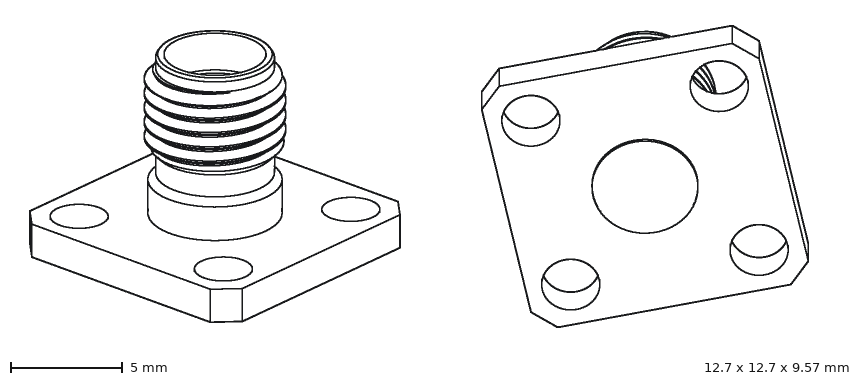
import cadquery as cq
import math

flange_side = 12.7
flange_thickness = 1.63
corner_chamfer = 1.02
mount_hole_spacing = 8.62
mount_hole_diameter = 2.6

shoulder_radius = 3.01
neck_radius = 2.67
tip_radius = 2.57
shoulder_chamfer = shoulder_radius - neck_radius
shoulder_top = 3.62
thread_bottom = 4.7
thread_top = 8.78
barrel_top = 9.42
tip_chamfer_height = 0.15

thread_radius = 3.18
pitches_per_diameter = 9
thread_pitch = 2 * thread_radius / pitches_per_diameter
thread_flat = thread_pitch / 8
flank_half_angle = math.radians(30)
groove_mouth = thread_pitch - thread_flat
groove_depth = (groove_mouth - thread_flat) / 2 / math.tan(flank_half_angle)
groove_start = 3.9
groove_turns = 7.6
groove_overcut = 0.06

bore_radius = 2.29
lip_radius = 2.16
lip_height = 0.1
bore_depth = 1.9
bore_floor = barrel_top - bore_depth

core_radius = 2.37
core_projection = 0.15
socket_mouth_radius = 0.6
socket_floor_radius = 0.5
socket_depth = socket_mouth_radius - socket_floor_radius


def make_flange():
    """Square plate with cut corners and four mounting holes."""
    return (
        cq.Workplane("XY")
        .rect(flange_side, flange_side)
        .extrude(flange_thickness)
        .edges("|Z")
        .chamfer(corner_chamfer)
        .faces(">Z")
        .workplane()
        .rect(mount_hole_spacing, mount_hole_spacing, forConstruction=True)
        .vertices()
        .hole(mount_hole_diameter)
    )


def make_barrel():
    """Solid turned barrel, with the thread still a plain bevelled band."""
    thread_bevel = thread_radius - neck_radius
    profile = [
        (0, 0),
        (shoulder_radius, 0),
        (shoulder_radius, shoulder_top - shoulder_chamfer),
        (neck_radius, shoulder_top),
        (neck_radius, thread_bottom),
        (thread_radius, thread_bottom + thread_bevel),
        (thread_radius, thread_top - thread_bevel),
        (neck_radius, thread_top),
        (neck_radius, barrel_top - tip_chamfer_height),
        (tip_radius, barrel_top),
        (0, barrel_top),
    ]
    return cq.Workplane("XZ").polyline(profile).close().revolve(360, (0, 0), (0, 1))


def make_thread_groove():
    """Helical V groove with a flat root, running out past both ends of the thread."""
    root_radius = thread_radius - groove_depth
    outer_radius = thread_radius + groove_overcut
    root_half_width = thread_flat / 2
    outer_half_width = groove_mouth / 2 + groove_overcut * math.tan(flank_half_angle)
    section = [
        (root_radius, groove_start - root_half_width),
        (outer_radius, groove_start - outer_half_width),
        (outer_radius, groove_start + outer_half_width),
        (root_radius, groove_start + root_half_width),
    ]
    helix = cq.Wire.makeHelix(
        thread_pitch, groove_turns * thread_pitch, root_radius, center=cq.Vector(0, 0, groove_start)
    )
    return cq.Workplane("XZ").polyline(section).close().sweep(cq.Workplane(obj=helix), isFrenet=True)


def make_bore():
    """Open bore, its tapered lip and the seat for the core below it."""
    profile = [
        (0, 0),
        (core_radius, 0),
        (core_radius, bore_floor),
        (lip_radius, bore_floor),
        (bore_radius, bore_floor + lip_height),
        (bore_radius, barrel_top),
        (0, barrel_top),
    ]
    return cq.Workplane("XZ").polyline(profile).close().revolve(360, (0, 0), (0, 1))


def make_housing():
    """Flange and threaded barrel in one piece."""
    threaded_barrel = make_barrel().cut(make_thread_groove())
    return make_flange().union(threaded_barrel).cut(make_bore())


def make_core():
    """Round core with a tapered socket in its top, standing proud below the flange."""
    profile = [
        (0, -core_projection),
        (core_radius, -core_projection),
        (core_radius, bore_floor),
        (socket_mouth_radius, bore_floor),
        (socket_floor_radius, bore_floor - socket_depth),
        (0, bore_floor - socket_depth),
    ]
    return cq.Workplane("XZ").polyline(profile).close().revolve(360, (0, 0), (0, 1))


housing = make_housing()
core = make_core()

result = cq.Compound.makeCompound([housing.solids().val(), core.val()])